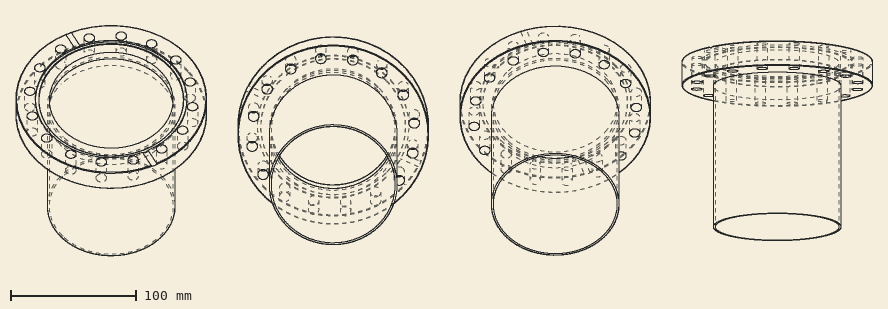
import cadquery as cq

flange_diameter = 152.0
flange_radius = flange_diameter / 2
flange_thickness = 20.0
rim_chamfer = 0.6
bore_diameter = 98.5

recess_diameter = 120.5
knife_diameter = 115.5
seal_face_diameter = 114.9
recess_wall_depth = 1.8
knife_tip_depth = 0.9
seal_face_depth = 1.5

bolt_count = 16
bolt_circle_diameter = 130.4
bolt_hole_diameter = 8.4

groove_width = 4.9
groove_depth = 0.9

overall_height = 135.0
tube_outer_diameter = 101.8
tube_inner_diameter = 98.6
tube_top_depth = 9.7

flange_top = overall_height
flange_bottom = flange_top - flange_thickness
tube_height = overall_height - tube_top_depth


def flange_blank():
    """Ring with a tube socket below and a knife-edge sealing face above."""
    profile = [
        (tube_outer_diameter / 2, flange_bottom),
        (flange_radius - rim_chamfer, flange_bottom),
        (flange_radius, flange_bottom + rim_chamfer),
        (flange_radius, flange_top - rim_chamfer),
        (flange_radius - rim_chamfer, flange_top),
        (recess_diameter / 2, flange_top),
        (recess_diameter / 2, flange_top - recess_wall_depth),
        (knife_diameter / 2, flange_top - knife_tip_depth),
        (seal_face_diameter / 2, flange_top - seal_face_depth),
        (bore_diameter / 2, flange_top - seal_face_depth),
        (bore_diameter / 2, tube_height),
        (tube_outer_diameter / 2, tube_height),
    ]
    return cq.Workplane("XZ").polyline(profile).close().revolve(360, (0, 0, 0), (0, 1, 0))


def bolt_hole_cutters():
    """Cylinders through the flange; the X axis falls midway between two holes."""
    half_pitch = 360 / bolt_count / 2
    return (
        cq.Workplane("XY")
        .workplane(offset=flange_bottom)
        .polarArray(bolt_circle_diameter / 2, half_pitch, 360, bolt_count)
        .circle(bolt_hole_diameter / 2)
        .extrude(flange_thickness)
    )


def groove_cutter():
    """Cylinder along X that cuts both leak-check grooves to the given width and depth."""
    radius = ((groove_width / 2) ** 2 + groove_depth**2) / (2 * groove_depth)
    return (
        cq.Workplane("YZ")
        .center(0, flange_top - groove_depth + radius)
        .circle(radius)
        .extrude(flange_radius, both=True)
    )


def make_flange():
    return flange_blank().cut(bolt_hole_cutters()).cut(groove_cutter())


def make_tube():
    return (
        cq.Workplane("XY")
        .circle(tube_outer_diameter / 2)
        .circle(tube_inner_diameter / 2)
        .extrude(tube_height)
    )


flange = make_flange()
tube = make_tube()

result = cq.Compound.makeCompound([flange.val(), tube.val()])